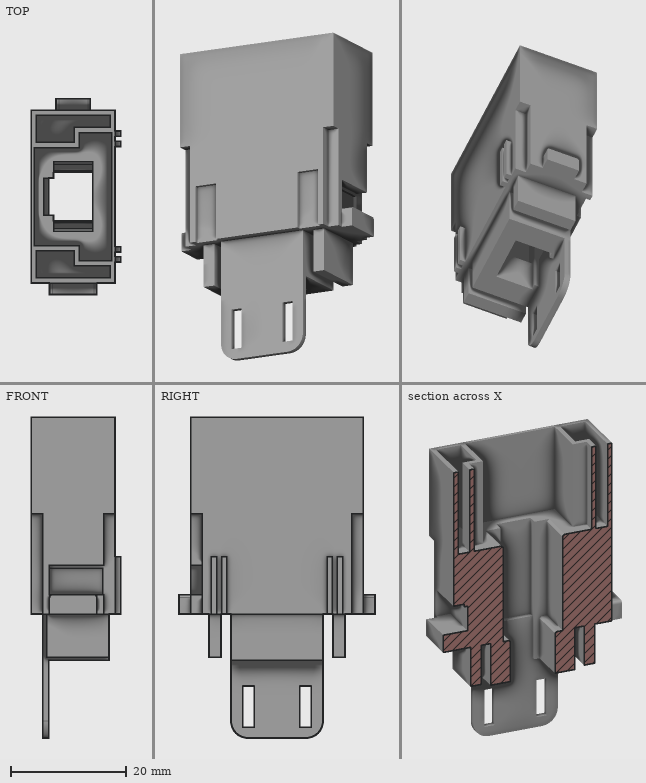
import cadquery as cq

BODY_X = 14.6
BODY_Y = 30.0
BODY_Z = 34.2
LEFT = -BODY_X / 2
RIGHT = BODY_X / 2
BACK = BODY_Y / 2

NOTCH = 2.0
NOTCH_TOP = 17.4

SIDE_WALL = 0.6
OUTER_WALL = 0.9
PARTITION = 0.9
FLOOR_ABOVE_NOTCH = 1.0
POCKET_FLOOR = NOTCH_TOP + FLOOR_ABOVE_NOTCH
CAVITY_NARROW_Y = 8.5
CAVITY_WIDE_Y = 11.1
CAVITY_STEP_X = 1.1

OPENING_X = 6.8
OPENING_TOP_Y = 6.0
SHELF_OUTER_Y = 5.6
SHELF_INNER_Y = 4.5
OPENING_BOTTOM_Y = 4.2
RELIEF_LEFT = -5.1
RELIEF_Y = 6.4

KEY_TOP = 10.0
GROOVE_INNER_Y = 8.0
GROOVE_OUTER_Y = 12.0
GROOVE_DEPTH = 0.8
RIB_HEIGHT = 1.0
RIB_WIDTH = 0.95
RIB_CENTRES_Y = (9.15, 10.9)

HOOK_REACH = 2.0
HOOK_TOP = 3.4
HOOK_FILLET = 0.5
FRONT_HOOK_X = 8.2
BACK_HOOK_X = 6.0
WINDOW_TOP = 8.5
WINDOW_POCKET_TOP = 8.0
WINDOW_POCKET_DEPTH = 0.6
WINDOW_POCKET_MARGIN = 0.15

TAB_LEFT = LEFT + NOTCH
TAB_THICKNESS = 1.1
TAB_RIGHT = TAB_LEFT + TAB_THICKNESS
TAB_Y = 16.0
TAB_BOTTOM = -21.5
TAB_RADIUS = 3.0
SLOT_Y = 1.95
SLOT_CENTRE_Y = 4.95
SLOT_TOP = -12.5
SLOT_BOTTOM = -19.6
BLOCK_RIGHT = 6.25
BLOCK_BOTTOM = -8.0

LEG_LEFT = -4.6
LEG_INNER_Y = 9.7
LEG_OUTER_Y = 11.8
LEG_BOTTOM = -7.5


def box(x_min, x_max, y_min, y_max, z_min, z_max):
    """Box given by its limits along each axis."""
    size = (x_max - x_min, y_max - y_min, z_max - z_min)
    return cq.Workplane("XY").box(*size, centered=False).translate((x_min, y_min, z_min))


def both_sides(solid):
    """The solid together with its mirror image across the XZ plane."""
    return solid.union(solid.mirror("XZ"))


def corner_notches():
    notch = (
        cq.Workplane("XY")
        .rect(BODY_X - NOTCH, BODY_Y - NOTCH, forConstruction=True)
        .vertices()
        .rect(NOTCH, NOTCH)
        .extrude(NOTCH_TOP)
    )
    return notch


def main_cavity():
    x_min = LEFT + SIDE_WALL
    x_max = RIGHT - SIDE_WALL
    narrow = box(x_min, x_max, -CAVITY_NARROW_Y, CAVITY_NARROW_Y, POCKET_FLOOR, BODY_Z)
    wide = box(CAVITY_STEP_X, x_max, -CAVITY_WIDE_Y, CAVITY_WIDE_Y, POCKET_FLOOR, BODY_Z)
    return narrow.union(wide)


def side_chambers():
    x_min = LEFT + OUTER_WALL
    x_max = RIGHT - OUTER_WALL
    x_step = CAVITY_STEP_X - PARTITION
    y_max = BACK - OUTER_WALL
    deep = box(x_min, x_step, CAVITY_NARROW_Y + PARTITION, y_max, POCKET_FLOOR, BODY_Z)
    shallow = box(x_min, x_max, CAVITY_WIDE_Y + PARTITION, y_max, POCKET_FLOOR, BODY_Z)
    return both_sides(deep.union(shallow))


def floor_opening():
    """Opening with a 45 degree lead-in at the floor and at the shelf edge."""
    floor_lead_in = OPENING_TOP_Y - SHELF_OUTER_Y
    shelf_lead_in = SHELF_INNER_Y - OPENING_BOTTOM_Y
    half_profile = [
        (OPENING_TOP_Y, POCKET_FLOOR),
        (SHELF_OUTER_Y, POCKET_FLOOR - floor_lead_in),
        (SHELF_OUTER_Y, 0),
        (SHELF_INNER_Y, 0),
        (OPENING_BOTTOM_Y, -shelf_lead_in),
        (OPENING_BOTTOM_Y, BLOCK_BOTTOM),
    ]
    mirrored = [(-y, z) for y, z in reversed(half_profile)]
    opening = (
        cq.Workplane("YZ")
        .polyline(half_profile + mirrored)
        .close()
        .extrude(OPENING_X / 2, both=True)
    )
    half_relief = RELIEF_Y / 2
    relief_above_tab = box(RELIEF_LEFT, 0, -half_relief, half_relief, 0, POCKET_FLOOR)
    relief_beside_tab = box(TAB_RIGHT, 0, -half_relief, half_relief, BLOCK_BOTTOM, 0)
    return opening.union(relief_above_tab).union(relief_beside_tab)


def key_grooves():
    groove = box(LEFT, LEFT + GROOVE_DEPTH, GROOVE_INNER_Y, GROOVE_OUTER_Y, 0, KEY_TOP)
    return both_sides(groove)


def key_ribs():
    half_width = RIB_WIDTH / 2
    ribs = cq.Workplane("XY")
    for y in RIB_CENTRES_Y:
        rib = box(RIGHT, RIGHT + RIB_HEIGHT, y - half_width, y + half_width, 0, KEY_TOP)
        ribs = ribs.union(rib)
    return both_sides(ribs)


def latch_window():
    """Recess level with the corner notch, with a deeper pocket behind it."""
    x_min = -FRONT_HOOK_X / 2
    x_max = RIGHT - NOTCH
    y_recess = -BACK + NOTCH
    y_pocket = y_recess + WINDOW_POCKET_DEPTH
    recess = box(x_min, x_max, -BACK, y_recess, HOOK_TOP, WINDOW_TOP)
    pocket = box(x_min, x_max - WINDOW_POCKET_MARGIN, y_recess, y_pocket, HOOK_TOP, WINDOW_POCKET_TOP)
    return recess.union(pocket)


def latch_hook(width):
    """Hook on the +Y face with its two upper side edges rounded."""
    hook = box(-width / 2, width / 2, BACK, BACK + HOOK_REACH, 0, HOOK_TOP)
    return hook.edges("|Y and >Z").fillet(HOOK_FILLET)


def mounting_tab():
    tab = box(TAB_LEFT, TAB_RIGHT, -TAB_Y / 2, TAB_Y / 2, TAB_BOTTOM, 0)
    tab = tab.edges("|X and <Z").fillet(TAB_RADIUS)
    slot_inner_y = SLOT_CENTRE_Y - SLOT_Y / 2
    slot = box(TAB_LEFT, TAB_RIGHT, slot_inner_y, slot_inner_y + SLOT_Y, SLOT_BOTTOM, SLOT_TOP)
    return tab.cut(both_sides(slot))


def lower_block():
    return box(TAB_RIGHT, BLOCK_RIGHT, -TAB_Y / 2, TAB_Y / 2, BLOCK_BOTTOM, 0)


def legs():
    return both_sides(box(LEG_LEFT, BLOCK_RIGHT, LEG_INNER_Y, LEG_OUTER_Y, LEG_BOTTOM, 0))


body = box(LEFT, RIGHT, -BACK, BACK, 0, BODY_Z)
for cutter in (corner_notches(), main_cavity(), side_chambers(), key_grooves(), latch_window()):
    body = body.cut(cutter)

for addition in (
    key_ribs(),
    latch_hook(FRONT_HOOK_X).mirror("XZ"),
    latch_hook(BACK_HOOK_X),
    mounting_tab(),
    lower_block(),
    legs(),
):
    body = body.union(addition)

result = body.cut(floor_opening())